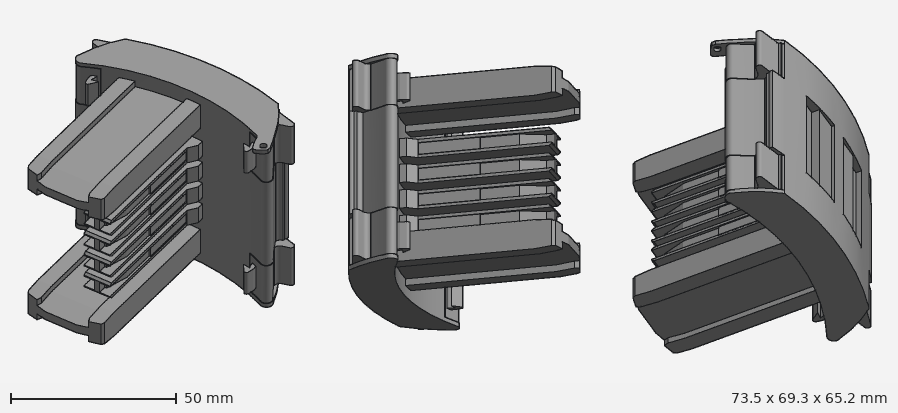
import cadquery as cq
import math



height = 65.2
mid_z = height / 2
back_radius = 92.6
front_radius = 76.45
crown_depth = 13.9
back_corner_x = 27.7
flange_side_mid = (32.3, -11.25)
wall_side_mid = (31.1, -11.25)
side_end = (35.15, -18.1)
nose_mid = (34.9, -20.6)
nose_end_x = 32.7

flange_thickness = 1.5
tab_root_x = 30.7
tab_tip_x = 37.1
tab_root_y = -14.7
eyelet_center = (35.0, -23.3)
eyelet_diameter = 2.1

clip_height = 14.8
clip_offset_z = mid_z - flange_thickness - clip_height / 2
clip_back_y = -4.9
clip_front_x = 27.0
clip_inset = 0.2
blade_tip_x = 36.4
blade_root_y = -12.4
hook_height = 8.5

middle_height = 2 * clip_offset_z - clip_height
lip_tip_x = 32.6
lip_root_y = -9.6
window_x = 18.0
window_depth = 3.7
shelf_outer_x = 11.0
shelf_inner_x = 2.95
shelf_depth = 1.1

root_y = -11.0
hook_root_y = -17.65

arm_x = -7.8
arm_half_width = 13.8
arm_rib_width = 5.1
arm_half_height = 4.6
arm_web_half_height = 2.5
arm_end_distance = 8.15
arm_offset_z = mid_z - arm_end_distance
arm_taper_y = -61.2
arm_tip_y = -69.3
arm_tip_half_height = 3.8
arm_web_tip_half_height = 1.55
arm_tip_flat_half = 5.65
arm_corner_y = -66.3
arm_corner_width = 0.6
arm_corner_length = 1.1
arm_flare = 0.9
arm_flare_y = -66.9

contact_count = 4
contact_pitch = 8.15
contact_height = 5.8
contact_web_height = 3.75
contact_half_width = 4.7
contact_tip_y = -61.45
contact_chamfer_length = 0.9
contact_chamfer_height = 0.65
contact_web_half = 4.35
contact_step_y = -38.8
contact_step_half = 3.9
contact_taper_y = -51.0
contact_post_y = -58.7
contact_post_half = 0.95
contact_shoulder_half = 1.6
contact_root_half = 6.85
contact_root_y = -16.5
contact_neck_y = -19.4


def arc_y(radius, crown_y, x):
    """Y of an arc that bulges toward +Y with its crown at x = 0."""
    return crown_y - radius + math.sqrt(radius**2 - x**2)


def back_y(x):
    return arc_y(back_radius, 0, x)


def front_y(x):
    return arc_y(front_radius, -crown_depth, x)


def mirrored(point):
    return (-point[0], point[1])


def box(x_range, y_range, z_center, size_z):
    """Block spanning two X values and two Y values, centred on a height."""
    size_x = x_range[1] - x_range[0]
    size_y = y_range[1] - y_range[0]
    center = (sum(x_range) / 2, sum(y_range) / 2, z_center)
    return cq.Workplane("XY").box(size_x, size_y, size_z).translate(center)


def plate(points, z_center, size_z):
    """Horizontal plate with a polygonal outline, centred on a height."""
    base = cq.Workplane("XY").workplane(offset=z_center - size_z / 2)
    return base.polyline(points).close().extrude(size_z)


def both_sides(solid):
    return solid.union(solid.mirror("YZ"))


def cover_outline(side_mid, base_z=0):
    """Crescent outline whose two sides curve through the given point and its mirror image."""
    corner = (back_corner_x, back_y(back_corner_x))
    nose_end = (nose_end_x, front_y(nose_end_x))
    return (
        cq.Workplane("XY")
        .workplane(offset=base_z)
        .moveTo(*mirrored(corner))
        .threePointArc((0, 0), corner)
        .threePointArc(side_mid, side_end)
        .threePointArc(nose_mid, nose_end)
        .threePointArc((0, -crown_depth), mirrored(nose_end))
        .threePointArc(mirrored(nose_mid), mirrored(side_end))
        .threePointArc(mirrored(side_mid), mirrored(corner))
        .close()
    )


def tab():
    """Eyelet tab that carries the right side of the top flange forward."""
    outline = (
        cq.Workplane("XY")
        .workplane(offset=height - flange_thickness)
        .moveTo(tab_root_x, tab_root_y)
        .lineTo(33.8, tab_root_y)
        .lineTo(36.0, -19.8)
        .lineTo(tab_tip_x, -22.8)
        .lineTo(tab_tip_x, -24.1)
        .lineTo(36.0, -25.15)
        .lineTo(34.1, -26.2)
        .threePointArc((33.1, -26.1), (32.5, -25.4))
        .lineTo(tab_root_x, front_y(tab_root_x))
        .close()
        .extrude(flange_thickness)
    )
    eyelet = (
        cq.Workplane("XY")
        .workplane(offset=height - flange_thickness)
        .center(*eyelet_center)
        .circle(eyelet_diameter / 2)
        .extrude(flange_thickness)
    )
    return outline.cut(eyelet)


def clip_recess(z_center):
    """Thin skin taken off the two ends of the cover where a clip pair wraps round it."""
    wall = cover_outline(wall_side_mid).extrude(height)
    core = cover_outline(wall_side_mid).offset2D(-clip_inset).extrude(height)
    skin = wall.cut(core)
    end = box((clip_front_x, tab_tip_x), (-2 * crown_depth, clip_back_y), z_center, clip_height)
    return skin.intersect(both_sides(end))


def clip_blade(z_center):
    """Rounded blade that points sideways from the right end of the cover."""
    return (
        cq.Workplane("XY")
        .workplane(offset=z_center - clip_height / 2)
        .moveTo(clip_front_x, clip_back_y)
        .lineTo(28.7, clip_back_y)
        .lineTo(28.7, -5.8)
        .lineTo(35.7, -7.8)
        .threePointArc((blade_tip_x, -8.9), (35.7, -9.85))
        .lineTo(33.1, -10.6)
        .threePointArc((32.2, -11.2), (31.75, blade_root_y))
        .lineTo(clip_front_x, blade_root_y)
        .close()
        .extrude(clip_height)
    )


def clip_hook(z_center):
    """Barbed hook that reaches forward from the right end of the cover."""
    return (
        cq.Workplane("XY")
        .workplane(offset=z_center - hook_height / 2)
        .moveTo(29.9, hook_root_y)
        .lineTo(29.9, -21.1)
        .lineTo(29.55, -23.15)
        .threePointArc((29.1, -23.75), (28.3, -23.8))
        .lineTo(26.25, -21.0)
        .lineTo(28.6, -21.3)
        .lineTo(28.15, -19.5)
        .lineTo(28.15, hook_root_y)
        .close()
        .extrude(hook_height)
    )


def back_lip():
    """Lip that carries the back of the cover sideways between the clips."""
    tip = (lip_tip_x, back_y(lip_tip_x))
    corner = (back_corner_x, back_y(back_corner_x))
    arc_mid_x = (back_corner_x + lip_tip_x) / 2
    return (
        cq.Workplane("XY")
        .workplane(offset=mid_z - middle_height / 2)
        .moveTo(*corner)
        .threePointArc((arc_mid_x, back_y(arc_mid_x)), tip)
        .lineTo(lip_tip_x, -6.2)
        .threePointArc((32.5, -6.8), (32.05, -7.3))
        .lineTo(32.05, -8.15)
        .threePointArc((31.0, -8.6), (30.45, lip_root_y))
        .lineTo(clip_front_x, lip_root_y)
        .close()
        .extrude(middle_height)
    )


def back_window():
    """Stepped pocket in the back of the cover, right of its middle."""
    window = box((shelf_outer_x, window_x), (-window_depth, 0), mid_z, middle_height)
    shelf = box((shelf_inner_x, shelf_outer_x), (-shelf_depth, 0), mid_z, middle_height)
    return window.union(shelf)


def tapered_bar(half_width, half_height, tip_half_height):
    """Bar along -Y, centred on X and Z, whose last stretch thins toward the tip."""
    points = [
        (root_y, half_height),
        (arm_taper_y, half_height),
        (arm_tip_y, tip_half_height),
        (arm_tip_y, -tip_half_height),
        (arm_taper_y, -half_height),
        (root_y, -half_height),
    ]
    return cq.Workplane("YZ").polyline(points).close().extrude(half_width, both=True)


def arm(z_center):
    """Arm of H section with a blunt, sloped tip."""
    half_channel = arm_half_width - arm_rib_width
    channel_points = [
        (half_channel, root_y),
        (half_channel, arm_flare_y),
        (half_channel + arm_flare, arm_tip_y),
        (-half_channel - arm_flare, arm_tip_y),
        (-half_channel, arm_flare_y),
        (-half_channel, root_y),
    ]
    channel = plate(channel_points, 0, 2 * arm_half_height)
    ribs = tapered_bar(arm_half_width, arm_half_height, arm_tip_half_height).cut(channel)
    web = tapered_bar(arm_half_width, arm_web_half_height, arm_web_tip_half_height)

    right_side = [
        (arm_half_width, root_y),
        (arm_half_width, arm_corner_y),
        (arm_half_width - arm_corner_width, arm_corner_y - arm_corner_length),
        (arm_tip_flat_half, arm_tip_y),
    ]
    left_side = [mirrored(point) for point in reversed(right_side)]
    plan = plate(right_side + left_side, 0, 2 * arm_half_height)
    return ribs.union(web).intersect(plan).translate((arm_x, 0, z_center))


def contact(z_center):
    """Contact blade: two flat plates joined by a stepped, tapering web, on a flared root."""
    rail = box((-contact_half_width, contact_half_width), (contact_tip_y, root_y), 0, contact_height)
    rail = rail.faces("<Y").edges("|X").chamfer(contact_chamfer_height, contact_chamfer_length)

    right_side = [
        (contact_web_half, root_y),
        (contact_web_half, contact_step_y),
        (contact_step_half, contact_step_y),
        (contact_step_half, contact_taper_y),
        (contact_shoulder_half, contact_post_y),
        (contact_post_half, contact_post_y),
        (contact_post_half, contact_tip_y),
    ]
    left_side = [
        (-contact_post_half, contact_tip_y),
        (-contact_post_half, contact_post_y),
        (-contact_step_half, contact_taper_y),
        (-contact_step_half, contact_step_y),
        (-contact_web_half, contact_step_y),
        (-contact_web_half, root_y),
    ]
    web = plate(right_side + left_side, 0, contact_web_height)
    gap = box((-contact_half_width, contact_half_width), (contact_tip_y, root_y), 0, contact_web_height)

    root_points = [
        (contact_root_half, root_y),
        (contact_root_half, contact_root_y),
        (contact_half_width, contact_neck_y),
        (-contact_half_width, contact_neck_y),
        (-contact_root_half, contact_root_y),
        (-contact_root_half, root_y),
    ]
    root = plate(root_points, 0, contact_height)
    return rail.cut(gap).union(web).union(root).translate((0, 0, z_center))


result = cover_outline(wall_side_mid).extrude(height)
result = result.cut(both_sides(back_window()))
result = result.union(both_sides(back_lip()))

for side in (-1, 1):
    clip_z = mid_z + side * clip_offset_z
    result = result.cut(clip_recess(clip_z))
    result = result.union(both_sides(clip_blade(clip_z)))
    result = result.union(both_sides(clip_hook(clip_z)))

for flange_z in (0, height - flange_thickness):
    result = result.union(cover_outline(flange_side_mid, flange_z).extrude(flange_thickness))
result = result.union(tab())

for side in (-1, 1):
    result = result.union(arm(mid_z + side * arm_offset_z))

for index in range(contact_count):
    contact_z = mid_z + (index - (contact_count - 1) / 2) * contact_pitch
    result = result.union(contact(contact_z))